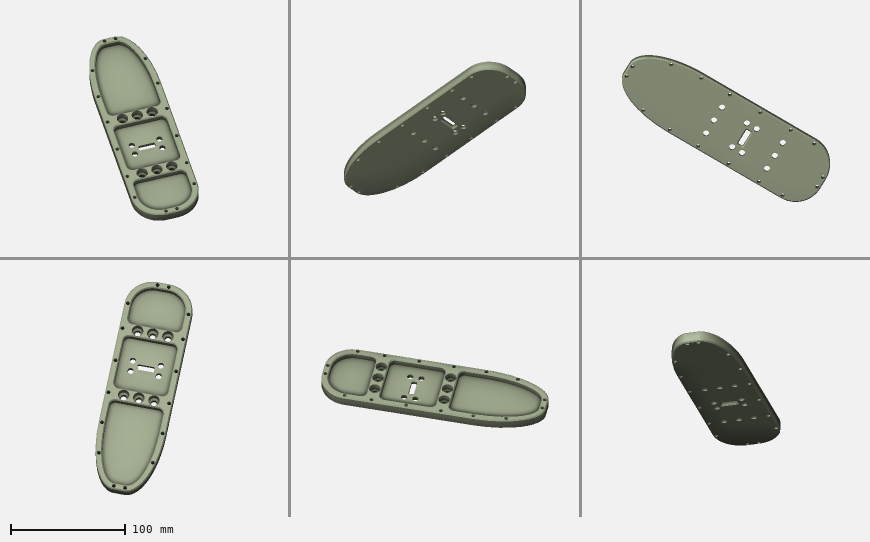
import cadquery as cq

length = 200.0
width = 60.0
thickness = 10.0
edge_chamfer = 1.0

flat_half = 5.0
nose_length = 60.0
tail_radius = width / 2 - flat_half
nose_base_x = -length / 2 + nose_length
tail_base_x = length / 2 - tail_radius

rim_width = 6.0
pocket_depth = 6.0
pocket_corner_radius = 5.0

middle_x = 20.0
rib_spacing = 62.0
rib_width = 12.0
rib_xs = [middle_x - rib_spacing / 2, middle_x + rib_spacing / 2]

rib_hole_diameter = 5.5
rib_hole_span = 27.0
counterbore_diameter = 10.0
counterbore_depth = 6.0

slot_width = 5.0
slot_length = 15.0
slot_corner_radius = 1.0
floor_hole_diameter = 5.5
floor_hole_spacing_x = 10.0
floor_hole_spacing_y = 25.0

screw_hole_diameter = 3.5
screw_inset = 3.0
nose_screw_x = -68.8
nose_screw_y = 24.0


def plan_outline(inset):
    """Closed plan outline of the plate, moved inwards by the inset."""
    half_width = width / 2 - inset
    nose_radius_x = nose_length - inset
    nose_radius_y = half_width - flat_half
    end_radius = tail_radius - inset
    tail_tip_x = tail_base_x + end_radius
    nose_tip_x = nose_base_x - nose_radius_x
    return (
        cq.Workplane("XY")
        .moveTo(nose_base_x, -half_width)
        .lineTo(tail_base_x, -half_width)
        .radiusArc((tail_tip_x, -flat_half), -end_radius)
        .lineTo(tail_tip_x, flat_half)
        .radiusArc((tail_base_x, half_width), -end_radius)
        .lineTo(nose_base_x, half_width)
        .ellipseArc(nose_radius_x, nose_radius_y, 90, 180)
        .lineTo(nose_tip_x, -flat_half)
        .ellipseArc(nose_radius_x, nose_radius_y, 180, 270)
        .close()
    )


def chamfer_inner_rims(body, face_selector):
    """Chamfer every opening now present in the selected flat face."""
    rims = body.faces(face_selector).val().innerWires()
    rim_edges = [edge for rim in rims for edge in rim.Edges()]
    return body.newObject(rim_edges).chamfer(edge_chamfer)


def drill_through(body, points, diameter):
    drills = cq.Workplane("XY").pushPoints(points).circle(diameter / 2).extrude(thickness)
    return body.cut(drills)


def make_plate():
    plate = plan_outline(0).extrude(thickness)
    return plate.faces("<Z or >Z").edges().chamfer(edge_chamfer)


def cut_pockets(body):
    """Sink the area inside the rim, leaving the two ribs between three pockets."""
    ribs = (
        cq.Workplane("XY")
        .pushPoints([(x, 0) for x in rib_xs])
        .rect(rib_width, width)
        .extrude(pocket_depth)
    )
    pockets = plan_outline(rim_width).extrude(pocket_depth).cut(ribs)
    rib_corners = cq.selectors.BoxSelector(
        (rib_xs[0] - rib_width, -width, 0),
        (rib_xs[1] + rib_width, width, pocket_depth),
    )
    pockets = pockets.edges("|Z").edges(rib_corners).fillet(pocket_corner_radius)
    body = body.cut(pockets.translate((0, 0, thickness - pocket_depth)))
    return chamfer_inner_rims(body, ">Z")


def cut_slot(body):
    """Slot through the middle pocket floor, with its bottom edge chamfered."""
    slot = (
        cq.Workplane("XY")
        .center(middle_x, 0)
        .rect(slot_width, slot_length)
        .extrude(thickness)
        .edges("|Z")
        .fillet(slot_corner_radius)
    )
    return chamfer_inner_rims(body.cut(slot), "<Z")


def cut_floor_holes(body):
    points = [
        (middle_x + side_x * floor_hole_spacing_x / 2, side_y * floor_hole_spacing_y / 2)
        for side_x in (-1, 1)
        for side_y in (-1, 1)
    ]
    return drill_through(body, points, floor_hole_diameter)


def cut_rib_holes(body):
    points = [(x, row * rib_hole_span / 2) for x in rib_xs for row in (-1, 0, 1)]
    return (
        body.faces(">Z")
        .workplane(origin=(0, 0, thickness))
        .pushPoints(points)
        .cboreHole(rib_hole_diameter, counterbore_diameter, counterbore_depth)
    )


def cut_screw_holes(body):
    side_y = width / 2 - screw_inset
    end_x = length / 2 - screw_inset
    side_xs = [nose_base_x, rib_xs[0], middle_x, rib_xs[1], tail_base_x]
    upper_points = [(x, side_y) for x in side_xs]
    upper_points += [(nose_screw_x, nose_screw_y), (-end_x, flat_half), (end_x, flat_half)]
    lower_points = [(x, -y) for x, y in upper_points]
    return drill_through(body, upper_points + lower_points, screw_hole_diameter)


result = make_plate()
result = cut_pockets(result)
result = cut_slot(result)
result = cut_floor_holes(result)
result = cut_rib_holes(result)
result = cut_screw_holes(result)